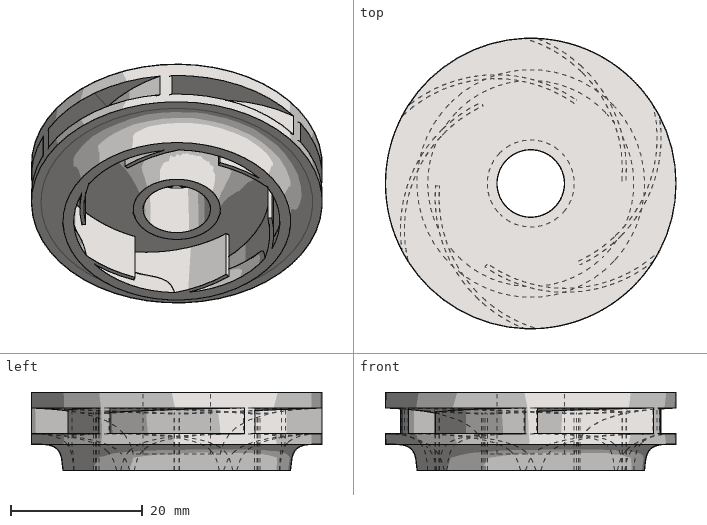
import cadquery as cq
import math


outer_radius = 22.045
total_height = 11.88
bore_radius = 5.1

hub_rim_thickness = 2.38
hub_rim_bottom = total_height - hub_rim_thickness
hub_nose_radius = 6.6
hub_nose_bottom = 2.5
hub_nose_lead = 5.3
hub_nose_spread = 1.0
hub_rim_lead = 9.0
hub_rim_drop = 0.4

shroud_thickness = 1.63
shroud_rim_bottom = 3.97
shroud_rim_top = shroud_rim_bottom + shroud_thickness
neck_radius = 17.26
neck_taper = math.radians(5.2)
neck_lead = 2.4
flare_corner_radius = 17.5
flare_end_radius = 20.6

vane_count = 6
first_vane_angle = 30
vane_arc_radius = 21.25
vane_arc_center = (2.19, 6.75)
vane_thickness = 0.6
vane_inner_angle = -95
vane_outer_angle = 0

overrun = 2.0


def shroud_curve(offset, end_radius):
    """Control points of a shroud wall face, offset inward and ending level at a radius."""
    start_radius = neck_radius - offset
    lead = neck_lead + offset / 2
    rim_z = shroud_rim_bottom + offset
    return [
        (start_radius, 0),
        (start_radius + lead * math.tan(neck_taper), lead),
        (flare_corner_radius - offset, rim_z),
        (end_radius, rim_z),
    ]


def hub_curve():
    """Control points of the hub underside, from the rim inward to the nose."""
    return [
        (outer_radius, hub_rim_bottom),
        (outer_radius - hub_rim_lead, hub_rim_bottom - hub_rim_drop),
        (hub_nose_radius + hub_nose_spread, hub_nose_bottom + hub_nose_lead),
        (hub_nose_radius, hub_nose_bottom),
    ]


def revolve_profile(profile):
    """Revolve a closed radius-height profile about the Z axis."""
    return profile.close().revolve(360, (0, 0, 0), (0, 1, 0))


def arc_point(radius, degrees):
    """Point on an arc about the vane arc center."""
    angle = math.radians(degrees)
    center_x, center_y = vane_arc_center
    return (center_x + radius * math.cos(angle), center_y + radius * math.sin(angle))


def make_envelope():
    """Bored body with the outer shape of the impeller, still without passages."""
    return revolve_profile(
        cq.Workplane("XZ")
        .moveTo(bore_radius, 0)
        .lineTo(neck_radius, 0)
        .bezier(shroud_curve(0, flare_end_radius))
        .lineTo(outer_radius, shroud_rim_bottom)
        .lineTo(outer_radius, total_height)
        .lineTo(bore_radius, total_height)
    )


def make_flow_space():
    """Ring of open space between hub and shroud, from the inlet to the rim."""
    inner_shroud = shroud_curve(shroud_thickness, outer_radius)
    return revolve_profile(
        cq.Workplane("XZ")
        .moveTo(inner_shroud[0][0], -overrun)
        .lineTo(*inner_shroud[0])
        .bezier(inner_shroud)
        .lineTo(outer_radius + overrun, shroud_rim_top)
        .lineTo(outer_radius + overrun, hub_rim_bottom)
        .lineTo(outer_radius, hub_rim_bottom)
        .bezier(hub_curve())
        .lineTo(bore_radius - overrun, hub_nose_bottom)
        .lineTo(bore_radius - overrun, -overrun)
    )


def make_vane():
    """Full-height vane strip that reaches past the rim near the X axis."""
    mid_angle = (vane_outer_angle + vane_inner_angle) / 2
    suction_radius = vane_arc_radius - vane_thickness
    return (
        cq.Workplane("XY")
        .moveTo(*arc_point(vane_arc_radius, vane_outer_angle))
        .threePointArc(
            arc_point(vane_arc_radius, mid_angle),
            arc_point(vane_arc_radius, vane_inner_angle),
        )
        .lineTo(*arc_point(suction_radius, vane_inner_angle))
        .threePointArc(
            arc_point(suction_radius, mid_angle),
            arc_point(suction_radius, vane_outer_angle),
        )
        .close()
        .extrude(total_height)
    )


vane = make_vane()
passages = make_flow_space()
for index in range(vane_count):
    vane_angle = first_vane_angle + index * 360 / vane_count
    passages = passages.cut(vane.rotate((0, 0, 0), (0, 0, 1), vane_angle))

result = make_envelope().cut(passages)